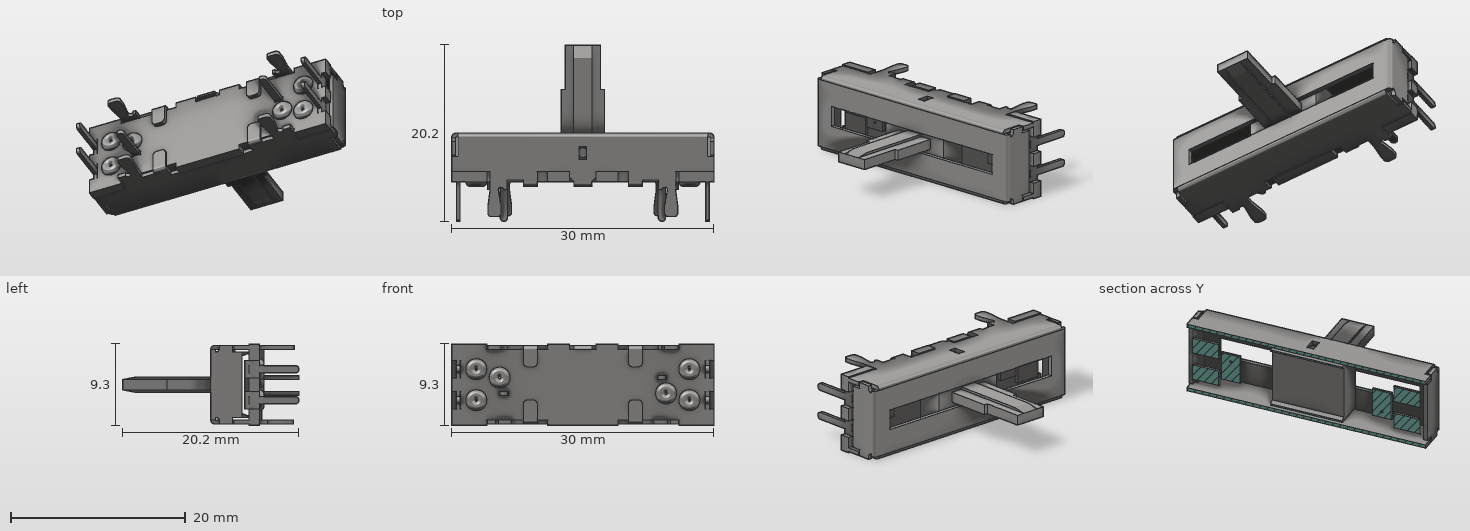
import cadquery as cq


length = 30.0
board_width = 9.3
board_thickness = 1.2
cover_width = 9.0
cover_top = 5.58
sheet = 0.48
bend_radius = 0.5
pin_tip = -4.53
pin_width = 0.85
pin_tip_radius = 0.49 * pin_width

half_length = length / 2
half_board = board_width / 2
half_cover = cover_width / 2
inner_half_length = half_length - sheet
inner_half_cover = half_cover - sheet
inner_top = cover_top - sheet

side_notch_inner = 4.02
side_notch_outer = 10.98
tongue_notch_width = 3.0
end_notch_depth = 1.02

wall_half_length = 14.28
wall_shoulder = 2.9
flap_width = 7.5
flap_bottom = 1.98
ear_bottom = 3.05
ear_top = 4.6
ear_corner = 0.42
slot_length = 25.2
slot_width = 2.4
window_width = 0.87
window_bottom = 2.52
window_top = 4.05

leg_root_top = 10.62
leg_root_bottom = 8.37
leg_width_top = 1.95
leg_width_bottom = 2.55
leg_tip_top = -4.0
leg_tip_bottom = -3.9
leg_bulge = 0.25
leg_bulge_start = -1.0
leg_bulge_full = -2.75
finger_tip_width = 1.53
finger_root_width = 0.95
finger_tip_radius = 0.42
hook_tip = -0.9
notch_top = -0.63
notch_width = 0.65

tab_x = 6.0
tab_width = 1.62
tab_end_top = 2.05
tab_end_bottom = 1.75
tab_corner = 0.5
tab_drop_top = 0.55
tab_drop_bottom = 0.27
apron_bottom = 0.18
apron_end = 8.67
tongue_tip_width = 2.05
tongue_bottom = -0.55
tongue_taper_start = 0.48
tongue_rounding = 0.45

rivet_ring_radius = 0.65
rivet_tube_radius = 0.55
rivet_hole_radius = rivet_ring_radius - rivet_tube_radius
end_terminal_z = 1.77
end_terminal_width = 2.0
end_terminal_reach = 10.98
end_rivet_x = 12.18
end_pin_thickness = 0.42
end_pin_outer = 14.45
terminal_bend_radius = 0.57
middle_pin_x = 9.03
middle_rivet_x = 9.5
middle_slot_length = 1.05
middle_pin_offset = 0.9
middle_shift_z = -0.1
middle_plate_length = 2.4
middle_plate_width = 3.6

lever_tip = 15.63
lever_step = 10.55
lever_width = 4.05
lever_base_width = 4.98
lever_flank_thickness = 1.2
lever_rib_width = 2.1
lever_rib_thickness = 1.77
lever_taper_start = 14.13
carriage_length = 9.0
carriage_width = 6.9
carriage_rail_depth = 0.65
carriage_rail_width = 0.45
carriage_rail_taper = 0.2
nub_bottom = 2.8
nub_top = 3.87
nub_chamfer = 0.2


def block(x0, x1, y0, y1, z0, z1):
    """Box between two opposite corners."""
    size = (x1 - x0, y1 - y0, z1 - z0)
    return cq.Workplane("XY").box(*size, centered=False).translate((x0, y0, z0))


def centered_block(x_size, y0, y1, z_size):
    """Box centred on x = 0 and z = 0."""
    return block(-x_size / 2, x_size / 2, y0, y1, -z_size / 2, z_size / 2)


def mirrored_x(solid):
    return solid.union(solid.mirror("YZ"))


def mirrored_z(solid):
    return solid.union(solid.mirror("XY"))


def make_board():
    board = centered_block(length, 0, board_thickness, board_width)
    side_notch = block(side_notch_inner, side_notch_outer, 0, board_thickness, inner_half_cover, half_board)
    board = board.cut(mirrored_x(mirrored_z(side_notch)))
    half_tongue = tongue_notch_width / 2
    board = board.cut(block(-half_tongue, half_tongue, 0, board_thickness, inner_half_cover, half_board))
    half_terminal = end_terminal_width / 2
    end_notch = block(
        half_length - end_notch_depth, half_length, 0, board_thickness,
        end_terminal_z - half_terminal, end_terminal_z + half_terminal,
    )
    return board.cut(mirrored_x(mirrored_z(end_notch)))


def make_cover():
    walls = centered_block(2 * wall_half_length, board_thickness, cover_top, cover_width)
    walls = walls.edges("|X and >Y").fillet(bend_radius)
    shoulder = centered_block(length, board_thickness, wall_shoulder, cover_width)
    arc_y = ear_top + ear_corner
    arc_z = flap_width / 2 + ear_corner
    flaps = centered_block(length, board_thickness, arc_y, flap_width)
    flap_bend = centered_block(length, arc_y, cover_top, 2 * inner_half_cover)
    flaps = flaps.union(flap_bend.edges("|Z and >Y").fillet(bend_radius))
    ears = centered_block(length, ear_bottom, ear_top, cover_width)
    corner = block(-half_length, half_length, ear_top, arc_y, flap_width / 2, arc_z)
    corner = corner.cut(cq.Workplane("YZ").center(arc_y, arc_z).circle(ear_corner).extrude(length, both=True))
    ears = ears.union(mirrored_z(corner))

    side_cavity = centered_block(length, board_thickness, inner_top, 2 * inner_half_cover)
    end_cavity = centered_block(2 * inner_half_length, board_thickness, inner_top, cover_width)
    flap_clearance = centered_block(length, board_thickness, flap_bottom, flap_width)
    sides = walls.union(shoulder).cut(side_cavity)
    ends = flaps.cut(flap_clearance).union(ears).cut(end_cavity)
    cover = sides.union(ends)

    cover = cover.cut(centered_block(slot_length, inner_top, cover_top, slot_width))
    half_window = window_width / 2
    window = block(-half_window, half_window, window_bottom, window_top, inner_half_cover, half_cover)
    return cover.cut(window)


def make_leg(root_x, width, tip):
    """Sprung leg in the cover wall: bulged finger at root_x and a hook towards x = root_x + width."""
    side = 1 if width > 0 else -1

    def at(offset, y):
        return (root_x + side * offset, y)

    finger_inner = finger_tip_width - leg_bulge
    notch_middle = finger_root_width + notch_width / 2
    notch_end = finger_root_width + notch_width
    leg = (
        cq.Workplane("XY")
        .moveTo(*at(0, board_thickness))
        .lineTo(*at(0, leg_bulge_start))
        .lineTo(*at(-leg_bulge, leg_bulge_full))
        .lineTo(*at(-leg_bulge, tip))
        .lineTo(*at(finger_inner, tip))
        .lineTo(*at(finger_inner, leg_bulge_full))
        .lineTo(*at(finger_root_width, hook_tip))
        .threePointArc(at(notch_middle, notch_top), at(notch_end, hook_tip))
        .lineTo(*at(abs(width), hook_tip))
        .lineTo(*at(abs(width), board_thickness))
        .close()
        .extrude(sheet)
    )
    return leg.edges("|Z and <Y").fillet(finger_tip_radius)


def make_tab(drop, fold_end):
    """Tab running down the cover wall and folded inward against the board."""
    x0 = tab_x - tab_width / 2
    x1 = tab_x + tab_width / 2
    wall = block(x0, x1, -drop, board_thickness, inner_half_cover, half_cover)
    fold = block(x0, x1, -drop, 0, fold_end, half_cover).edges("|Y and <Z").fillet(tab_corner)
    tab = wall.union(fold).clean()
    return tab.edges("|X and <Y and >Z").fillet(sheet)


def make_wall_details():
    """Legs, aprons, tabs and the centre tongue hanging from the two cover walls."""
    top_leg = make_leg(leg_root_top, -leg_width_top, leg_tip_top)
    bottom_leg = make_leg(leg_root_bottom, leg_width_bottom, leg_tip_bottom)
    details = top_leg.translate((0, 0, inner_half_cover))
    details = details.union(bottom_leg.translate((0, 0, -half_cover)))
    apron = block(tab_x, apron_end, apron_bottom, board_thickness, inner_half_cover, half_cover)
    details = details.union(mirrored_z(apron))
    details = details.union(make_tab(tab_drop_top, tab_end_top))
    details = details.union(make_tab(tab_drop_bottom, tab_end_bottom).mirror("XY"))

    half_root = tongue_notch_width / 2
    half_tip = tongue_tip_width / 2
    tongue = (
        cq.Workplane("XY", origin=(0, 0, inner_half_cover))
        .polyline([
            (-half_root, board_thickness), (half_root, board_thickness),
            (half_root, tongue_taper_start), (half_tip, 0), (half_tip, tongue_bottom),
            (-half_tip, tongue_bottom), (-half_tip, 0), (-half_root, tongue_taper_start),
        ])
        .close()
        .extrude(sheet)
        .edges("<Y and >Z")
        .fillet(tongue_rounding)
    )
    return mirrored_x(details).union(tongue)


def make_rivet(x, z):
    """Rolled rivet collar standing half out of the board face."""
    ring = cq.Solid.makeTorus(
        rivet_ring_radius, rivet_tube_radius, cq.Vector(x, 0, z), cq.Vector(0, 1, 0)
    )
    return cq.Workplane(obj=ring)


def make_rivet_hole(x, z, depth):
    hole = cq.Solid.makeCylinder(
        rivet_hole_radius, depth, cq.Vector(x, 0, z), cq.Vector(0, 1, 0)
    )
    return cq.Workplane(obj=hole)


def make_end_terminal(z):
    """Bent strip at the +X end: foot on the board, plate in the end notch and a round-tipped pin."""
    z0 = z - end_terminal_width / 2
    z1 = z + end_terminal_width / 2
    foot_top = board_thickness + sheet
    pin_inner = end_pin_outer - end_pin_thickness
    foot = block(end_terminal_reach, end_pin_outer, board_thickness, foot_top, z0, z1)
    plate = block(pin_inner, end_pin_outer, 0, foot_top, z0, z1)
    strip = foot.union(plate).edges("|Z and >X and >Y").fillet(terminal_bend_radius)
    pin = block(
        pin_inner, end_pin_outer, pin_tip, board_thickness,
        z - pin_width / 2, z + pin_width / 2,
    )
    return strip.union(pin.edges("|X and <Y").fillet(pin_tip_radius))


def make_middle_plate(side):
    """Plate on the inner face of the board that joins a middle rivet to its pin."""
    plate = centered_block(middle_plate_length, board_thickness, board_thickness + sheet, middle_plate_width)
    return plate.translate((side * middle_rivet_x, 0, 0))


def make_middle_pin(side):
    z = side * middle_pin_offset + middle_shift_z
    pin = block(
        side * middle_pin_x - pin_width / 2, side * middle_pin_x + pin_width / 2, pin_tip, board_thickness,
        z - sheet / 2, z + sheet / 2,
    )
    return pin.edges("|Z and <Y").fillet(pin_tip_radius)


def make_middle_slot(side):
    z = side * middle_pin_offset + middle_shift_z
    half_slot = middle_slot_length / 2
    x = side * middle_pin_x
    return block(x - half_slot, x + half_slot, 0, board_thickness / 2, z - sheet / 2, z + sheet / 2)


def make_slider():
    """Lever with a raised tapered rib on both faces, on the carriage under the cover."""
    tip = centered_block(lever_width, inner_top, lever_tip, lever_flank_thickness)
    base = centered_block(lever_base_width, inner_top, lever_step, lever_flank_thickness)
    half_rib = lever_rib_thickness / 2
    half_flank = lever_flank_thickness / 2
    rib = (
        cq.Workplane("YZ", origin=(-lever_rib_width / 2, 0, 0))
        .polyline([
            (inner_top, -half_rib), (lever_taper_start, -half_rib), (lever_tip, -half_flank),
            (lever_tip, half_flank), (lever_taper_start, half_rib), (inner_top, half_rib),
        ])
        .close()
        .extrude(lever_rib_width)
    )
    carriage = centered_block(carriage_length, flap_bottom, inner_top, carriage_width)

    rail_outer = flap_width / 2
    rail_inner = rail_outer - carriage_rail_width
    rail_bottom = flap_bottom - carriage_rail_depth
    rail = (
        cq.Workplane("YZ", origin=(-carriage_length / 2, 0, 0))
        .polyline([
            (inner_top, rail_outer), (rail_bottom, rail_outer),
            (rail_bottom, rail_outer - carriage_rail_taper), (flap_bottom, rail_inner),
            (inner_top, rail_inner),
        ])
        .close()
        .extrude(carriage_length)
    )
    half_nub = window_width / 2
    nub = block(-half_nub, half_nub, nub_bottom, nub_top, rail_inner, inner_half_cover)
    nub = nub.edges("|Z").chamfer(nub_chamfer)
    return tip.union(base).union(rib).union(carriage).union(mirrored_z(rail)).union(nub)


result = make_board().union(make_cover()).union(make_wall_details())
result = result.union(make_slider())

end_terminals = make_end_terminal(end_terminal_z).union(make_end_terminal(-end_terminal_z))
result = result.union(mirrored_x(end_terminals))
for x_side in (-1, 1):
    for z_side in (-1, 1):
        end_rivet = (x_side * end_rivet_x, z_side * end_terminal_z)
        result = result.cut(make_rivet_hole(*end_rivet, board_thickness)).union(make_rivet(*end_rivet))

for x_side in (-1, 1):
    middle_rivet = (x_side * middle_rivet_x, -x_side * middle_pin_offset + middle_shift_z)
    result = result.union(make_middle_plate(x_side))
    result = result.cut(make_rivet_hole(*middle_rivet, board_thickness + sheet))
    result = result.union(make_rivet(*middle_rivet))
    result = result.cut(make_middle_slot(x_side)).union(make_middle_pin(x_side))